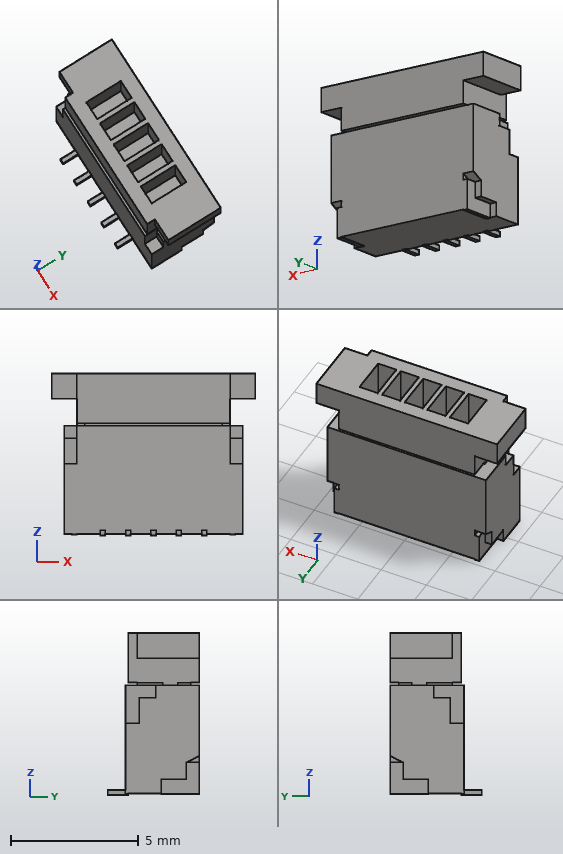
import cadquery as cq

total_height = 6.37

head_width = 6.02
head_depth = 2.8
head_height = 1.95
ear_span = 8.0
ear_depth = 2.44
ear_height = 1.0
head_bottom = total_height - head_height

base_width = 7.02
base_depth = 2.9
base_bottom = 0.06
base_top = 4.32

neck_width = 5.4
neck_back = 0.34
neck_front = ear_depth
rib_back = 0.85
rib_front = 1.44

contact_count = 5
contact_pitch = 1.0
pin_size = 0.2
pin_length = 0.8
pin_tip = 3.6
well_width = 0.8
well_length = 1.6
well_back = 0.6
well_depth = head_height

side_notch_width = (base_width - head_width) / 2
upper_step_depth = 1.2
upper_step_height = 0.5
lower_step_depth = 0.54
lower_step_height = 1.5

tab_thickness = 0.2
tab_bottom = 0.03
tab_top = 1.28
tab_leg_depth = 0.5
tab_foot_depth = 1.5
tab_foot_top = 0.62
notch_slope_top = 1.54


def block(x_center, width, back, front, bottom, top):
    """Box from its X centre and width, distances forward of the back face, and Z limits."""
    return (
        cq.Workplane("XY")
        .box(width, front - back, top - bottom, centered=(True, False, False))
        .translate((x_center, -front, bottom))
    )


def side_prism(points, x_start, thickness):
    """Extrude a closed (Y, Z) outline along +X."""
    return cq.Workplane("YZ").workplane(offset=x_start).polyline(points).close().extrude(thickness)


def both_sides(shape):
    """The shape together with its mirror image across the YZ plane."""
    return shape.union(shape.mirror("YZ"))


def make_head():
    head = block(0, head_width, 0, head_depth, head_bottom, total_height)
    ears = block(0, ear_span, 0, ear_depth, total_height - ear_height, total_height)
    return head.union(ears)


def make_neck():
    core = block(0, neck_width, neck_back, neck_front, base_top, head_bottom)
    rib = block(0, head_width, rib_back, rib_front, base_top, head_bottom)
    return core.union(rib)


def make_front_notch():
    x_center = (head_width + side_notch_width) / 2
    upper = block(
        x_center, side_notch_width, base_depth - upper_step_depth, base_depth,
        base_top - upper_step_height, base_top,
    )
    lower = block(
        x_center, side_notch_width, base_depth - lower_step_depth, base_depth,
        base_top - lower_step_height, base_top,
    )
    return upper.union(lower)


def make_back_notch():
    outline = [
        (0, base_bottom),
        (0, notch_slope_top),
        (-tab_leg_depth, tab_top),
        (-tab_leg_depth, tab_foot_top),
        (-tab_foot_depth, tab_foot_top),
        (-tab_foot_depth, base_bottom),
    ]
    return side_prism(outline, head_width / 2, side_notch_width)


def make_solder_tab():
    outline = [
        (0, tab_bottom),
        (0, tab_top),
        (-tab_leg_depth, tab_top),
        (-tab_leg_depth, tab_foot_top),
        (-tab_foot_depth, tab_foot_top),
        (-tab_foot_depth, tab_bottom),
    ]
    return side_prism(outline, head_width / 2, tab_thickness)


def make_base():
    base = block(0, base_width, 0, base_depth, base_bottom, base_top)
    base = base.cut(both_sides(make_front_notch()))
    base = base.cut(both_sides(make_back_notch()))
    return base.union(both_sides(make_solder_tab()))


result = make_base().union(make_neck()).union(make_head())

for index in range(contact_count):
    contact_x = (index - (contact_count - 1) / 2) * contact_pitch
    well = block(
        contact_x, well_width, well_back, well_back + well_length,
        total_height - well_depth, total_height,
    )
    pin = block(contact_x, pin_size, pin_tip - pin_length, pin_tip, 0, pin_size)
    result = result.cut(well).union(pin)